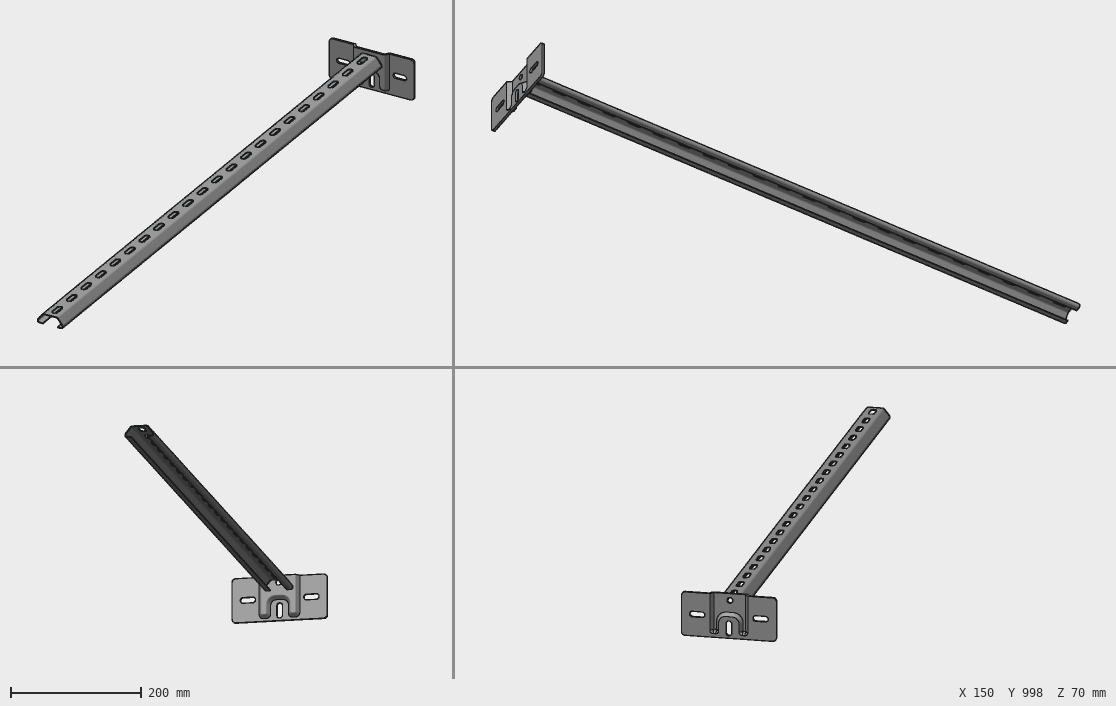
import cadquery as cq
import math

total_length = 998.0
plate_width = 150.0
plate_height = 70.0
plate_thickness = 4.0
plate_corner_radius = 6.0
plate_back = total_length / 2
plate_front = plate_back - plate_thickness

rib_depth = 7.0
rib_side_run = 5.0
rib_half_width = 32.0
rib_bottom = -31.0
leg_end_radius = 7.0
arch_half_width = 14.0
arch_top = -2.0
arch_radius = 9.0
crest_bend_radius = 2.0
rib_front = plate_front - rib_depth
rib_taper = math.degrees(math.atan(rib_side_run / rib_depth))
hollow_inset = plate_thickness * math.tan(math.radians((90 - rib_taper) / 2))
rib_overrun = 20.0

rail_front = -total_length / 2
rail_back = rib_front
rail_length = rail_back - rail_front
rail_thickness = 1.5
web_top = 29.0
web_half_width = 13.0
web_bend_radius = 5.0
foot_bottom = 11.0
foot_half_width = 27.0
foot_bend_radius = 4.0
lip_half_gap = 13.0

slot_length = 24.0
slot_width = 9.0
rail_slot_count = 22
rail_slot_pitch = 45.0
first_rail_slot = 466.0
side_slot_offset = 50.0
lower_slot_height = -19.0
upper_hole_height = 24.0


def facing_front(y):
    """Workplane at depth y with X and Z as its axes; extrusions go toward -Y."""
    return cq.Workplane("XZ", origin=(0, y, 0))


def tapered_rib(base_y, inset):
    """Inverted U with sloping sides; its base outline is moved inward by inset."""
    outer = rib_half_width - inset
    inner = arch_half_width + inset
    bottom = rib_bottom + inset
    crown = arch_top + inset
    top = plate_height / 2 + rib_overrun
    end = leg_end_radius - inset
    bend = arch_radius + inset
    return (
        facing_front(base_y)
        .moveTo(-outer, top)
        .lineTo(-outer, bottom + end)
        .radiusArc((-outer + end, bottom), -end)
        .lineTo(-inner - end, bottom)
        .radiusArc((-inner, bottom + end), -end)
        .lineTo(-inner, crown - bend)
        .radiusArc((-inner + bend, crown), bend)
        .lineTo(inner - bend, crown)
        .radiusArc((inner, crown - bend), bend)
        .lineTo(inner, bottom + end)
        .radiusArc((inner + end, bottom), -end)
        .lineTo(outer - end, bottom)
        .radiusArc((outer, bottom + end), -end)
        .lineTo(outer, top)
        .close()
        .extrude(rib_depth, taper=rib_taper)
    )


def build_plate():
    """Flat plate with the hollow rib pressed out of it, then pierced."""
    depth = plate_thickness + rib_depth
    envelope = facing_front(plate_back).rect(plate_width, plate_height).extrude(depth)
    sheet = (
        facing_front(plate_back)
        .rect(plate_width, plate_height)
        .extrude(plate_thickness)
        .edges("|Y")
        .fillet(plate_corner_radius)
    )
    rib = tapered_rib(plate_front, 0).faces("<Y").edges().fillet(crest_bend_radius)
    rib = rib.intersect(envelope)
    hollow = tapered_rib(plate_back, hollow_inset)
    side_slots = (
        facing_front(plate_back)
        .pushPoints([(-side_slot_offset, 0), (side_slot_offset, 0)])
        .slot2D(slot_length, slot_width)
        .extrude(depth)
    )
    lower_slot = (
        facing_front(plate_back)
        .center(0, lower_slot_height)
        .slot2D(slot_length, slot_width, 90)
        .extrude(depth)
    )
    upper_hole = (
        facing_front(plate_back)
        .center(0, upper_hole_height)
        .circle(slot_width / 2)
        .extrude(depth)
    )
    return sheet.union(rib).cut(hollow).cut(side_slots).cut(lower_slot).cut(upper_hole)


def rail_strip():
    """Open trapezoidal channel with rounded bends and lips along its lower side."""
    outline = [
        (-foot_half_width, foot_bottom),
        (-web_half_width, web_top),
        (web_half_width, web_top),
        (foot_half_width, foot_bottom),
    ]
    solid = facing_front(rail_back).polyline(outline).close().extrude(rail_length)
    solid = solid.edges("|Y and >Z").fillet(web_bend_radius)
    solid = solid.edges("|Y and <Z").fillet(foot_bend_radius)
    tube = solid.faces("<Y or >Y").shell(-rail_thickness)
    mouth = (
        facing_front(rail_back)
        .center(0, foot_bottom)
        .rect(2 * lip_half_gap, 4 * rail_thickness)
        .extrude(rail_length)
    )
    return tube.cut(mouth)


def build_rail():
    """Channel with a row of slots along its web."""
    slot_places = [(0, first_rail_slot - i * rail_slot_pitch) for i in range(rail_slot_count)]
    web_slots = (
        cq.Workplane("XY", origin=(0, 0, web_top))
        .pushPoints(slot_places)
        .slot2D(slot_length, slot_width, 90)
        .extrude(-2 * rail_thickness)
    )
    return rail_strip().cut(web_slots)


plate = build_plate()
rail = build_rail()
result = cq.Compound.makeCompound([plate.val(), rail.val()])